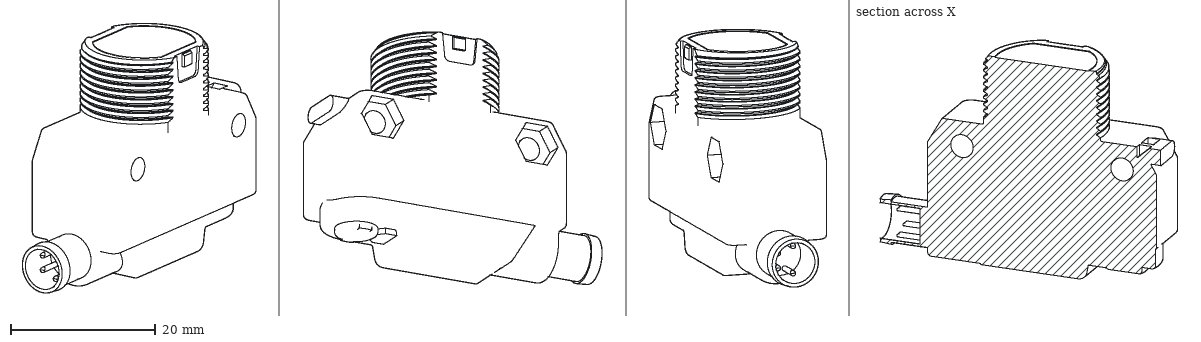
import cadquery as cq
import math

WIDTH = 15.0
HALF_WIDTH = WIDTH / 2
HALF_LENGTH = 17.25
BLOCK_BOTTOM = 5.85
BLOCK_TOP = 20.88
BEVEL_START = 17.05
BEVEL_ANGLE = 60.0
BEVEL_EDGE_RADIUS = 0.3
CORNER_RADIUS = 1.5
TOP_EDGE_RADIUS = 0.42
BOTTOM_EDGE_RADIUS = 0.6

BASE_WIDTH = 11.2
BASE_HALF_WIDTH = BASE_WIDTH / 2
TAIL_BOTTOM = 3.06
STEP_TOP_Y = 7.13
STEP_BOTTOM_Y = 6.57
BASE_FRONT_BOTTOM_Y = -9.2
BASE_FRONT_TOP_Y = -12.85
BASE_EDGE_RADIUS = 0.65
STEP_CORNER_RADIUS = 1.4
STEP_ROOT_RADIUS = 0.25
BASE_FRONT_RADIUS = 0.3

CONNECTOR_Z = 4.4
CRADLE_RADIUS = CONNECTOR_Z
CRADLE_ROOT_RADIUS = 0.25
CONNECTOR_END_Y = -24.36
TUBE_RADIUS = 3.25
BORE_RADIUS = 2.87
BORE_DEPTH = 6.0
COLLAR_LENGTH = 1.7
COLLAR_LARGE_RADIUS = 3.53
COLLAR_SMALL_RADIUS = 3.4
PIN_RADIUS = 0.37
PIN_LENGTH = 3.6
PIN_CIRCLE_RADIUS = 2.0
PIN_ANGLES = (75, 148, 212, 285)

HEAD_RADIUS = 8.9
HEAD_TOP = 31.12
HEAD_TOP_RADIUS = 8.2
HEAD_BEVEL_HEIGHT = 1.0
HEAD_FOOT_RADIUS = 0.2
THREAD_PITCH = 1.0
THREAD_DEPTH = 0.57
THREAD_ROOT_WIDTH = 0.1
THREAD_MOUTH_WIDTH = 0.8
THREAD_START_Z = 21.8
FRONT_GROOVES = 9
REAR_GROOVES = 10
GROOVE_SWEEP = 130.0
GROOVE_OVERSHOOT = 0.1
LENS_RADIUS = 7.16
LENS_WIDTH = 11.64
LENS_RECESS = 0.1

KEY_TOP_WIDTH = 5.4
KEY_BOTTOM_WIDTH = 4.6
KEY_HEIGHT = 4.07
KEY_DEPTH = 0.4
KEY_CORNER_RADIUS = 0.8
KEY_PAD_WIDTH = 1.85
KEY_PAD_BOTTOM = 29.1
KEY_PAD_TOP = 30.95
KEY_PAD_BEVEL = 0.25

MOUNT_Y = 12.03
MOUNT_Z = 17.16
MOUNT_DIAMETER = 3.3
NUT_ACROSS_FLATS = 5.72
NUT_DEPTH = 2.4
NUT_TURN = 30.0

TAB_WIDTH = 7.6
TAB_HEIGHT = 2.35
TAB_END_Y = 17.86
TAB_START_Y = 13.0
WINDOW_WIDTH = 2.25
WINDOW_GAP = 0.8
WINDOW_BACK_Y = 16.15
WINDOW_FRONT_Y = 14.3
WINDOW_DEPTH = 1.65

ADJUSTER_Y = 12.29
ADJUSTER_RADIUS = 3.0
ADJUSTER_BOTTOM = 2.05
ADJUSTER_EDGE_RADIUS = 0.5
ADJUSTER_SINK = 0.3
ADJUSTER_BAR_WIDTH = 1.92
STOP_BOTTOM = 2.24
STOP_WIDTH = 4.0
STOP_CORNER_Y = 8.75
STOP_END_Y = 9.8

OVERLAP = 1.0
TOLERANCE = 0.01


def box(x_range, y_range, z_range):
    """Box between the given (low, high) limits."""
    corner = (x_range[0], y_range[0], z_range[0])
    size = (x_range[1] - x_range[0], y_range[1] - y_range[0], z_range[1] - z_range[0])
    return cq.Workplane("XY", origin=corner).box(*size, centered=False)


def side_prism(points, x_start, x_end):
    """Extrude a (y, z) outline along X."""
    return cq.Workplane("YZ", origin=(x_start, 0, 0)).polyline(points).close().extrude(x_end - x_start)


def y_cylinder(radius, y_start, y_end, x=0.0, z=CONNECTOR_Z):
    """Cylinder along Y, running from y_start down to y_end."""
    return cq.Workplane("XZ", origin=(x, y_start, z)).circle(radius).extrude(y_start - y_end)


def make_block():
    """Main block with bevelled upper ends and rounded upright edges."""
    bevel_run = (BLOCK_TOP - BEVEL_START) / math.tan(math.radians(BEVEL_ANGLE))
    top_y = HALF_LENGTH - bevel_run
    block = side_prism(
        [
            (-HALF_LENGTH, BLOCK_BOTTOM),
            (HALF_LENGTH, BLOCK_BOTTOM),
            (HALF_LENGTH, BEVEL_START),
            (top_y, BLOCK_TOP),
            (-top_y, BLOCK_TOP),
            (-HALF_LENGTH, BEVEL_START),
        ],
        -HALF_WIDTH,
        HALF_WIDTH,
    )
    bevel_edges = block.edges("|X").filter(lambda edge: abs(edge.Center().z - BEVEL_START) < TOLERANCE)
    block = block.newObject(bevel_edges.vals()).fillet(BEVEL_EDGE_RADIUS)
    upright_edges = block.faces("<X or >X").edges().filter(
        lambda edge: edge.BoundingBox().zlen > TOLERANCE
    )
    block = block.newObject(upright_edges.vals()).fillet(CORNER_RADIUS)
    return block.faces(">Z").edges().fillet(TOP_EDGE_RADIUS)


def base_front_y(z):
    """Y of the sloping front face of the base at a given height."""
    slope = (BASE_FRONT_TOP_Y - BASE_FRONT_BOTTOM_Y) / BLOCK_BOTTOM
    return BASE_FRONT_BOTTOM_Y + slope * z


def add_cradle(block):
    """Add the U-shaped connector cradle and round the lower edges of block and cradle together."""
    cradle_back = BASE_FRONT_BOTTOM_Y + OVERLAP
    round_part = y_cylinder(CRADLE_RADIUS, cradle_back, -HALF_LENGTH)
    walls = box(
        (-CRADLE_RADIUS, CRADLE_RADIUS),
        (-HALF_LENGTH, cradle_back),
        (CONNECTOR_Z, BLOCK_BOTTOM + OVERLAP),
    )
    body = block.union(round_part.union(walls))

    root_edges = body.edges("|Y").filter(
        lambda edge: abs(edge.Center().z - BLOCK_BOTTOM) < TOLERANCE
        and abs(abs(edge.Center().x) - CRADLE_RADIUS) < TOLERANCE
    )
    body = body.newObject(root_edges.vals()).fillet(CRADLE_ROOT_RADIUS)
    front_edge = body.faces("<Y").edges("<Z")
    return body.newObject(front_edge.vals()).fillet(BOTTOM_EDGE_RADIUS)


def make_base():
    """Stepped housing under the block, with a half-round tail and a sloping front."""
    inside_z = BLOCK_BOTTOM + OVERLAP
    base = side_prism(
        [
            (base_front_y(inside_z), inside_z),
            (base_front_y(0), 0),
            (STEP_BOTTOM_Y, 0),
            (STEP_TOP_Y, TAIL_BOTTOM),
            (HALF_LENGTH, TAIL_BOTTOM),
            (HALF_LENGTH, inside_z),
        ],
        -BASE_HALF_WIDTH,
        BASE_HALF_WIDTH,
    )
    tail_centre_y = HALF_LENGTH - BASE_HALF_WIDTH
    plan = (
        cq.Workplane("XY")
        .moveTo(-BASE_HALF_WIDTH, -HALF_LENGTH)
        .lineTo(BASE_HALF_WIDTH, -HALF_LENGTH)
        .lineTo(BASE_HALF_WIDTH, tail_centre_y)
        .threePointArc((0, HALF_LENGTH), (-BASE_HALF_WIDTH, tail_centre_y))
        .close()
        .extrude(inside_z)
    )
    base = base.intersect(plan)
    step_edge = base.edges(cq.NearestToPointSelector((0, STEP_BOTTOM_Y, 0)))
    base = base.newObject(step_edge.vals()).fillet(STEP_CORNER_RADIUS)
    step_root = base.edges(cq.NearestToPointSelector((0, STEP_TOP_Y, TAIL_BOTTOM)))
    base = base.newObject(step_root.vals()).fillet(STEP_ROOT_RADIUS)
    lower_edges = base.edges().filter(
        lambda edge: edge.BoundingBox().zmax < BLOCK_BOTTOM
        and edge.Center().y > BASE_FRONT_BOTTOM_Y + TOLERANCE
        and (abs(edge.Center().x) > TOLERANCE or edge.geomType() == "CIRCLE")
    )
    base = base.newObject(lower_edges.vals()).fillet(BASE_EDGE_RADIUS)
    front_side_edges = base.faces("<Y").edges("<X or >X")
    return base.newObject(front_side_edges.vals()).fillet(BASE_FRONT_RADIUS)


def make_groove_stretch():
    """One helical stretch of thread groove, long enough to cross the round side of the head.

    Its section is a V with a narrow flat root; its middle lies on the +Y axis at height zero.
    """
    root_radius = HEAD_RADIUS - THREAD_DEPTH
    flank_slope = (THREAD_MOUTH_WIDTH - THREAD_ROOT_WIDTH) / 2 / THREAD_DEPTH
    outer_radius = HEAD_RADIUS + GROOVE_OVERSHOOT
    outer_half_width = THREAD_MOUTH_WIDTH / 2 + GROOVE_OVERSHOOT * flank_slope
    rise = THREAD_PITCH * GROOVE_SWEEP / 360
    path = cq.Wire.makeHelix(THREAD_PITCH, rise, root_radius)
    section = cq.Workplane("XZ").polyline(
        [
            (root_radius, -THREAD_ROOT_WIDTH / 2),
            (root_radius, THREAD_ROOT_WIDTH / 2),
            (outer_radius, outer_half_width),
            (outer_radius, -outer_half_width),
        ]
    ).close()
    stretch = section.sweep(cq.Workplane(path), isFrenet=True)
    return stretch.rotate((0, 0, 0), (0, 0, 1), 90 - GROOVE_SWEEP / 2).translate((0, 0, -rise / 2))


def cut_thread(body):
    """Cut a right-hand thread as separate groove stretches across the rear and front of the head."""
    rear_stretch = make_groove_stretch()
    front_stretch = rear_stretch.rotate((0, 0, 0), (0, 0, 1), 180)
    grooves = []
    for turn in range(REAR_GROOVES):
        groove_z = THREAD_START_Z + turn * THREAD_PITCH
        grooves.append(rear_stretch.translate((0, 0, groove_z)).val())
    for turn in range(FRONT_GROOVES):
        groove_z = THREAD_START_Z + (turn + 0.5) * THREAD_PITCH
        grooves.append(front_stretch.translate((0, 0, groove_z)).val())
    return body.newObject([body.val().cut(*grooves)])


def add_head_blank(body):
    """Add the barrel, with two flats flush with the block sides and a small fillet at its foot."""
    buried_z = BLOCK_TOP - OVERLAP
    blank = cq.Workplane("XY", origin=(0, 0, buried_z)).circle(HEAD_RADIUS).extrude(HEAD_TOP - buried_z)
    blank = blank.intersect(
        box((-HALF_WIDTH, HALF_WIDTH), (-HEAD_RADIUS, HEAD_RADIUS), (buried_z, HEAD_TOP))
    )
    body = body.union(blank)
    foot_edges = body.edges("%CIRCLE").filter(
        lambda edge: abs(edge.Center().z - BLOCK_TOP) < TOLERANCE
        and abs(edge.radius() - HEAD_RADIUS) < TOLERANCE
    )
    return body.newObject(foot_edges.vals()).fillet(HEAD_FOOT_RADIUS)


def bevel_head(body):
    """Turn the conical bevel at the top of the head."""
    reach = HEAD_RADIUS + OVERLAP
    bevel_start = HEAD_TOP - HEAD_BEVEL_HEIGHT
    cutter = (
        cq.Workplane("XZ")
        .moveTo(HEAD_TOP_RADIUS, HEAD_TOP)
        .lineTo(HEAD_RADIUS, bevel_start)
        .lineTo(reach, bevel_start)
        .lineTo(reach, HEAD_TOP)
        .close()
        .revolve(360, (0, 0, 0), (0, 1, 0))
    )
    return body.cut(cutter)


def make_lens_recess():
    """Shallow recess for the lens: a disc with two flats."""
    floor_z = HEAD_TOP - LENS_RECESS
    lens = cq.Workplane("XY", origin=(0, 0, floor_z)).circle(LENS_RADIUS).extrude(LENS_RECESS)
    flats = box((-LENS_WIDTH / 2, LENS_WIDTH / 2), (-LENS_RADIUS, LENS_RADIUS), (floor_z, HEAD_TOP))
    return lens.intersect(flats)


def make_key_recess():
    """Tapered recess in the -X flat that leaves a small bevelled pad standing on its floor."""
    floor_x = -HALF_WIDTH + KEY_DEPTH
    bottom = HEAD_TOP - KEY_HEIGHT
    recess = side_prism(
        [
            (-KEY_TOP_WIDTH / 2, HEAD_TOP),
            (-KEY_BOTTOM_WIDTH / 2, bottom),
            (KEY_BOTTOM_WIDTH / 2, bottom),
            (KEY_TOP_WIDTH / 2, HEAD_TOP),
        ],
        -HALF_WIDTH,
        floor_x,
    )
    recess = recess.edges("|X and <Z").fillet(KEY_CORNER_RADIUS)
    pad = box(
        (-HALF_WIDTH, floor_x),
        (-KEY_PAD_WIDTH / 2, KEY_PAD_WIDTH / 2),
        (KEY_PAD_BOTTOM, KEY_PAD_TOP),
    )
    pad = pad.edges("<X and >Z").chamfer(KEY_PAD_BEVEL)
    return recess.cut(pad)


def make_mount_hole(y):
    """Cross hole with a hexagonal nut pocket on the -X side."""
    start = cq.Workplane("YZ", origin=(-HALF_WIDTH, y, MOUNT_Z))
    hole = start.circle(MOUNT_DIAMETER / 2).extrude(WIDTH)
    pocket = start.transformed(rotate=(0, 0, NUT_TURN)).polygon(6, NUT_ACROSS_FLATS, circumscribed=True)
    pocket = pocket.extrude(NUT_DEPTH)
    return hole.union(pocket)


def make_tab():
    """Indicator tab with rounded sides, projecting from the rear bevel."""
    return (
        cq.Workplane("XZ", origin=(0, TAB_END_Y, BLOCK_TOP - TAB_HEIGHT / 2))
        .slot2D(TAB_WIDTH, TAB_HEIGHT)
        .extrude(TAB_END_Y - TAB_START_Y)
    )


def make_window(side):
    """Wedge-shaped indicator window; side is -1 or 1."""
    inner_x = side * WINDOW_GAP / 2
    outer_x = inner_x + side * WINDOW_WIDTH
    return side_prism(
        [
            (WINDOW_BACK_Y, BLOCK_TOP),
            (WINDOW_FRONT_Y, BLOCK_TOP),
            (WINDOW_FRONT_Y, BLOCK_TOP - WINDOW_DEPTH),
        ],
        min(inner_x, outer_x),
        max(inner_x, outer_x),
    )


def make_adjuster():
    """Round adjuster under the tail with a grip bar across it and a stop towards the step."""
    disc_height = TAIL_BOTTOM - ADJUSTER_BOTTOM + ADJUSTER_SINK
    blank = (
        cq.Workplane("XY", origin=(0, ADJUSTER_Y, ADJUSTER_BOTTOM))
        .circle(ADJUSTER_RADIUS)
        .extrude(disc_height)
    )
    bar = box(
        (-ADJUSTER_RADIUS, ADJUSTER_RADIUS),
        (ADJUSTER_Y - ADJUSTER_BAR_WIDTH / 2, ADJUSTER_Y + ADJUSTER_BAR_WIDTH / 2),
        (ADJUSTER_BOTTOM, ADJUSTER_BOTTOM + disc_height),
    ).intersect(blank)
    disc = blank.faces("<Z").edges().fillet(ADJUSTER_EDGE_RADIUS)

    half_stop = STOP_WIDTH / 2
    end_half_width = half_stop - (STOP_END_Y - STOP_CORNER_Y)
    stop = (
        cq.Workplane("XY", origin=(0, 0, STOP_BOTTOM))
        .polyline(
            [
                (-half_stop, STEP_BOTTOM_Y),
                (half_stop, STEP_BOTTOM_Y),
                (half_stop, STOP_CORNER_Y),
                (end_half_width, STOP_END_Y),
                (-end_half_width, STOP_END_Y),
                (-half_stop, STOP_CORNER_Y),
            ]
        )
        .close()
        .extrude(TAIL_BOTTOM + ADJUSTER_SINK - STOP_BOTTOM)
    )
    return disc.union(bar).union(stop)


def add_connector(body):
    """Add the round plug with its tapered end collar, bore and contact pins."""
    collar_start_y = CONNECTOR_END_Y + COLLAR_LENGTH
    tube = y_cylinder(TUBE_RADIUS, -HALF_LENGTH + OVERLAP, collar_start_y)
    collar = (
        cq.Workplane("XZ", origin=(0, collar_start_y, CONNECTOR_Z))
        .circle(COLLAR_LARGE_RADIUS)
        .workplane(offset=COLLAR_LENGTH)
        .circle(COLLAR_SMALL_RADIUS)
        .loft()
    )
    bore_floor_y = CONNECTOR_END_Y + BORE_DEPTH
    body = body.union(tube).union(collar).cut(y_cylinder(BORE_RADIUS, bore_floor_y, CONNECTOR_END_Y))

    pin_back_y = bore_floor_y + OVERLAP
    pin_tip_y = bore_floor_y - PIN_LENGTH
    pin = y_cylinder(PIN_RADIUS, pin_back_y, pin_tip_y, z=0)
    pin = pin.cut(
        side_prism(
            [(pin_tip_y, 0), (pin_tip_y, PIN_RADIUS), (pin_tip_y + PIN_RADIUS, PIN_RADIUS)],
            -PIN_RADIUS,
            PIN_RADIUS,
        )
    )
    for angle in PIN_ANGLES:
        pin_x = PIN_CIRCLE_RADIUS * math.cos(math.radians(angle))
        pin_z = CONNECTOR_Z + PIN_CIRCLE_RADIUS * math.sin(math.radians(angle))
        body = body.union(pin.translate((pin_x, 0, pin_z)))
    return body


body = add_head_blank(add_cradle(make_block()))
body = cut_thread(bevel_head(body))
body = body.cut(make_lens_recess())
key_recess = make_key_recess()
body = body.cut(key_recess).cut(key_recess.mirror("YZ"))
body = body.union(make_tab())
for side in (-1, 1):
    body = body.cut(make_window(side))
    body = body.cut(make_mount_hole(side * MOUNT_Y))
body = body.union(make_base())
body = body.union(make_adjuster())
result = add_connector(body)